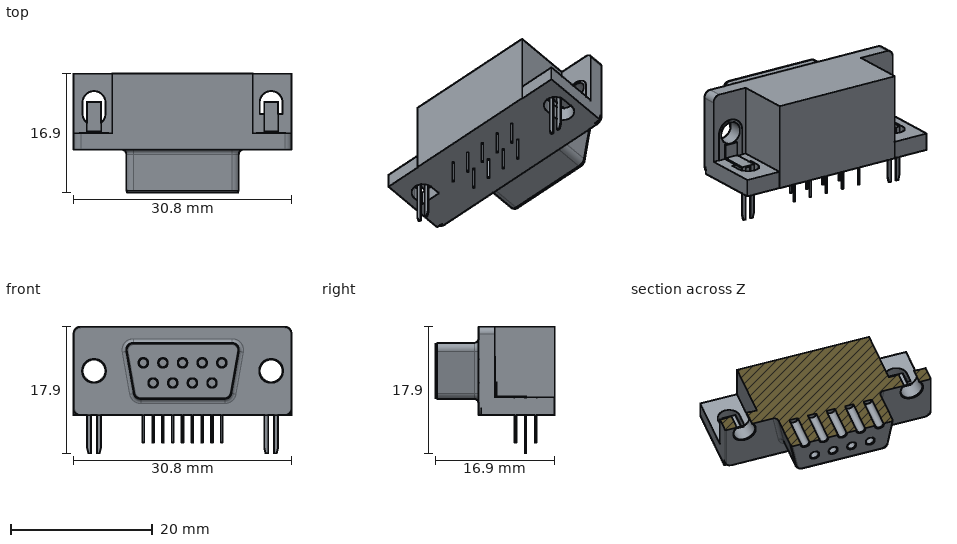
import cadquery as cq
import math


overall_width = 30.8
overall_height = 12.5
housing_depth = 10.4
block_width = 19.8
wall_thickness = 1.95
wing_thickness = 2.5
wing_setback = 0.06
top_corner_radius = 1.0

plate_thickness = 0.4
plate_edge_radius = 0.12
nose_length = 6.08
nose_width = 15.94
nose_height = 7.94
nose_slant = 10.0
nose_corner_radius = 1.0
nose_root_radius = 0.6
insert_inset = 0.1
insert_protrusion = 0.3
insert_edge_radius = 0.12

contact_pitch = 2.77
row_spacing = 2.84
contact_drop = 0.28
contact_bore = 1.2
bore_chamfer = 0.1
bore_depth = 5.0
upper_count = 5
lower_count = 4
pin_diameter = 0.3
pin_length = 3.9
pin_tip_chamfer = 0.08
pin_embed = 1.0
pin_rear_distance = 4.13

mount_spacing = 25.0
mount_hole = 3.2
mount_hole_chamfer = 0.1
pad_width = 4.0
pad_thickness = 0.06
slot_width = 3.2
slot_reach = 1.6
clip_width = 2.0
clip_thickness = 0.2
prong_gap = 0.8
prong_length = 5.4
prong_tip_length = 0.8
prong_tip_inset = 0.2

mid_height = overall_height / 2
contact_mid_z = mid_height - contact_drop
plate_front_y = -plate_thickness
insert_front_y = plate_front_y - nose_length
nose_front_y = insert_front_y + insert_protrusion
pin_centre_y = housing_depth - pin_rear_distance
clip_rear_y = pin_centre_y + clip_thickness / 2
strip_top_z = wing_thickness + clip_thickness
mount_positions = (-mount_spacing / 2, mount_spacing / 2)


def box(x_range, y_range, z_range):
    """Axis-aligned box from (low, high) limits on each axis."""
    size = [high - low for low, high in (x_range, y_range, z_range)]
    return (
        cq.Workplane("XY")
        .box(*size, centered=False)
        .translate((x_range[0], y_range[0], z_range[0]))
    )


def cylinder_y(diameter, x, z, y_start, y_end):
    """Cylinder along +Y between two Y positions."""
    length = y_end - y_start
    return cq.Workplane(
        cq.Solid.makeCylinder(diameter / 2, length, cq.Vector(x, y_start, z), cq.Vector(0, 1, 0))
    )


def countersink(bore, chamfer, x, z, y_face):
    """Conical cutter that breaks the edge of a bore entered from -Y."""
    inner_radius = bore / 2
    outer_radius = inner_radius + chamfer
    return cq.Workplane(
        cq.Solid.makeCone(outer_radius, inner_radius, chamfer, cq.Vector(x, y_face, z), cq.Vector(0, 1, 0))
    )


def make_housing():
    """Flange wall, central block and the two low wings behind the wall."""
    half_width = overall_width / 2
    half_block = block_width / 2
    wall = box((-half_width, half_width), (0, wall_thickness), (0, overall_height))
    wall = wall.edges("|Y and >Z").fillet(top_corner_radius)
    block = box((-half_block, half_block), (0, housing_depth), (0, overall_height))
    wings = box((-half_width, half_width), (0, housing_depth - wing_setback), (0, wing_thickness))
    return wall.union(block).union(wings)


def make_plate():
    """Metal plate covering the front of the wall, its front rim rounded."""
    half_width = overall_width / 2
    plate = box((-half_width, half_width), (plate_front_y, 0), (0, overall_height))
    plate = plate.edges("|Y").fillet(top_corner_radius)
    return plate.faces("<Y").edges().fillet(plate_edge_radius)


def d_prism(inset, front_y):
    """D-shaped prism, wider at the top, from front_y back to the housing.

    The outline is the nose outline moved inwards by the inset.
    """
    slant = math.radians(nose_slant)
    radius = nose_corner_radius - inset
    half_height = nose_height / 2 - inset
    top_overhang = radius * (math.tan(math.pi / 4 + slant / 2) - 1)
    top_half = nose_width / 2 - inset + top_overhang
    bottom_half = top_half - 2 * half_height * math.tan(slant)
    z_low = mid_height - half_height
    z_high = mid_height + half_height
    prism = (
        cq.Workplane("XZ")
        .polyline([(-top_half, z_high), (top_half, z_high), (bottom_half, z_low), (-bottom_half, z_low)])
        .close()
        .extrude(-front_y)
    )
    return prism.edges("|Y").fillet(radius)


def add_nose(body):
    """Join the nose, round its root into the plate and add the insert."""
    joined = body.union(d_prism(0, nose_front_y))
    margin = nose_root_radius / 2
    half_width = nose_width / 2 + margin
    half_height = nose_height / 2 + margin
    root = cq.selectors.BoxSelector(
        (-half_width, plate_front_y - margin, mid_height - half_height),
        (half_width, plate_front_y + margin, mid_height + half_height),
    )
    joined = joined.edges(root).fillet(nose_root_radius)
    insert = d_prism(insert_inset, insert_front_y)
    insert = insert.faces("<Y").edges().fillet(insert_edge_radius)
    return joined.union(insert)


def contact_positions():
    """(x, z, row) of every contact; row is +1 for upper and -1 for lower."""
    positions = []
    for count, row in ((upper_count, 1), (lower_count, -1)):
        for index in range(count):
            x = (index - (count - 1) / 2) * contact_pitch
            positions.append((x, contact_mid_z + row * row_spacing / 2, row))
    return positions


def make_pin(x, y):
    """Round solder pin with a chamfered tip, rooted in the housing."""
    pin = cq.Workplane("XY").workplane(offset=-pin_length).circle(pin_diameter / 2)
    pin = pin.extrude(pin_length + pin_embed).faces("<Z").chamfer(pin_tip_chamfer)
    return pin.translate((x, y, 0))


def make_slot(x, square_front):
    """Board-lock slot through a wing, its front end round or square."""
    rear_arc_y = pin_centre_y
    radius = slot_width / 2
    front_y = rear_arc_y - slot_reach
    x_range = (x - radius, x + radius)
    slot = box(x_range, (front_y, rear_arc_y), (0, wing_thickness))
    arc_centres = [rear_arc_y] if square_front else [rear_arc_y, front_y]
    for y in arc_centres:
        slot = slot.union(cq.Workplane("XY").center(x, y).circle(radius).extrude(wing_thickness))
    return slot


def make_pad(x):
    """Thin round-topped pad on the rear of the wall, standing on the wing."""
    y_range = (wall_thickness, wall_thickness + pad_thickness)
    half_width = pad_width / 2
    pad = box((x - half_width, x + half_width), y_range, (wing_thickness, mid_height))
    return pad.union(cylinder_y(pad_width, x, mid_height, *y_range))


def make_prong(x, outer_side):
    """Flat board-lock prong; its outer edge tapers at the tip."""
    outer = outer_side * clip_width / 2
    inner = outer_side * prong_gap / 2
    tip_outer = outer - outer_side * prong_tip_inset
    outline = [
        (inner, wing_thickness),
        (outer, wing_thickness),
        (outer, prong_tip_length - prong_length),
        (tip_outer, -prong_length),
        (inner, -prong_length),
    ]
    prong = cq.Workplane("XZ").polyline(outline).close().extrude(clip_thickness)
    return prong.translate((x, clip_rear_y, 0))


def make_clip(x):
    """Board lock: leg up the wall, strip along the wing, two prongs down."""
    x_range = (x - clip_width / 2, x + clip_width / 2)
    leg_rear_y = wall_thickness + pad_thickness + clip_thickness
    leg = box(x_range, (wall_thickness, leg_rear_y), (wing_thickness, mid_height - mount_hole / 2))
    strip = box(x_range, (wall_thickness, clip_rear_y), (wing_thickness, strip_top_z))
    clip = leg.union(strip)
    for side in (-1, 1):
        clip = clip.union(make_prong(x, side))
    return clip


result = add_nose(make_housing().union(make_plate()))

for mount_x in mount_positions:
    result = result.cut(make_slot(mount_x, square_front=mount_x > 0))
    result = result.union(make_pad(mount_x)).union(make_clip(mount_x))
    result = result.cut(cylinder_y(mount_hole, mount_x, mid_height, plate_front_y, housing_depth))
    result = result.cut(countersink(mount_hole, mount_hole_chamfer, mount_x, mid_height, plate_front_y))

for contact_x, contact_z, row in contact_positions():
    bore_end_y = insert_front_y + bore_depth
    result = result.cut(cylinder_y(contact_bore, contact_x, contact_z, insert_front_y, bore_end_y))
    result = result.cut(countersink(contact_bore, bore_chamfer, contact_x, contact_z, insert_front_y))
    result = result.union(make_pin(contact_x, pin_centre_y + row * row_spacing / 2))